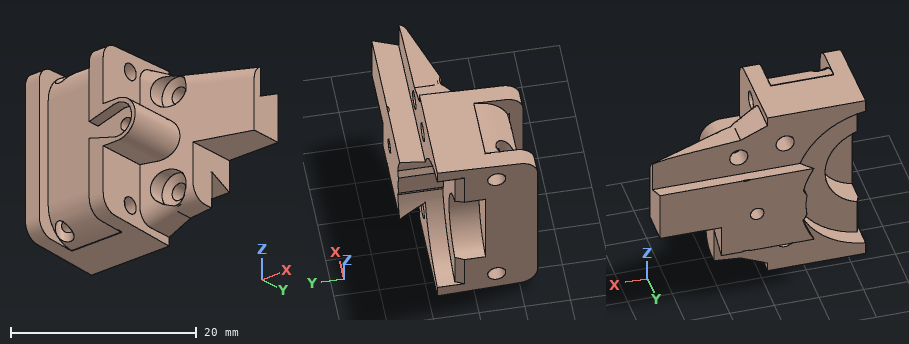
import cadquery as cq
import math

length = 23.9
depth = 13.93
back_y = 11.0

body_length = 11.02
body_half_height = 20.95 / 2
front_half_height = 10.09
corner_radius = 2.0
flange_width = 1.98
gap_x = body_length - flange_width
floor_y = 1.48
floor_half_height = 6.29
web_radius = 3.92

pocket_x = -1.0
pocket_radius = 9.05
pocket_floor_y = 9.0
pocket_ramp_y = 8.0
pocket_ramp_run = 0.4
inner_radius = 5.0
inner_floor_y = 5.71
key_base_half = 2.03
key_tip_half = 1.3
key_tip_radius = 8.53

pivot_x = 13.0
boss_radius = 2.53
opening_radius = 2.0
gap_half_height = 1.0
pivot_hole = 1.5

arm_root_half = 9.42
arm_bend = (14.03, 8.08)
arm_tip_half = 7.2
arm_root_y = 6.07
arm_tip_y = 9.95
arm_edge_radius = 2.0
step_x = 17.02
step_z = -1.03

dovetail_base_half = 3.47
dovetail_back_half = 4.85

side_hole = 1.95
side_hole_y, side_hole_z = 4.5, 8.0
cross_hole = 2.0
cross_hole_x, cross_hole_y = 3.0, 3.0
web_hole = 2.0
web_hole_z = 6.57
screw_hole = 2.0
screw_head = 4.02
screw_x, screw_z = 14.22, 5.75
screw_seat_y = 8.36
screw_cone_depth = 0.5


def box(x0, x1, y0, y1, z0, z1):
    return cq.Workplane("XY").box(x1 - x0, y1 - y0, z1 - z0, centered=False).translate((x0, y0, z0))


def y_plane(y):
    """Sketch plane at a given Y: local axes are X and Z, extrusion runs toward +Y."""
    return cq.Workplane(cq.Plane(origin=(0, y, 0), xDir=(1, 0, 0), normal=(0, -1, 0)))


def extrude_y(sketch, distance):
    return sketch.extrude(-distance)


def cylinder_y(x, z, radius, y0, y1):
    return extrude_y(y_plane(y0).center(x, z).circle(radius), y1 - y0)


def make_body():
    taper = [
        (0, -front_half_height),
        (back_y, -body_half_height),
        (back_y, body_half_height),
        (0, front_half_height),
    ]
    body = cq.Workplane("YZ").polyline(taper).close().extrude(body_length)
    return body.edges("|X and <Y").fillet(corner_radius)


def make_channel():
    """Space between the flanges, in front of the web with its rounded shoulders."""
    width = body_length - 2 * flange_width
    shoulder_y = floor_y + web_radius
    front = box(flange_width, flange_width + width, 0, shoulder_y, -body_half_height, body_half_height)
    half_web = floor_half_height + web_radius
    web = box(flange_width, flange_width + width, floor_y, back_y, -half_web, half_web)
    web = web.edges("|X and <Y").fillet(web_radius)
    return front.cut(web)


def make_arm():
    upper = [(body_length, arm_root_half), arm_bend, (length, arm_tip_half)]
    lower = [(x, -z) for x, z in reversed(upper)]
    blank = extrude_y(y_plane(0).polyline(upper + lower).close(), 2 * depth)
    slope = (
        cq.Workplane("XY")
        .polyline([
            (body_length, arm_root_y),
            (length, arm_tip_y),
            (length, 2 * depth),
            (body_length, 2 * depth),
        ])
        .close()
        .extrude(body_half_height, both=True)
    )
    arm = blank.intersect(slope)
    arm = arm.faces("<Y").edges("not |Z").fillet(arm_edge_radius)
    return arm.intersect(box(0, length, 0, back_y, -body_half_height, body_half_height))


def make_boss():
    boss = cylinder_y(pivot_x, 0, boss_radius, 0, pocket_floor_y)
    neck = box(gap_x, pivot_x, 0, pocket_floor_y, -boss_radius, boss_radius)
    return boss.union(neck)


def make_opening():
    """Round recess whose tangent sides narrow to the gap in the flange."""
    reach = math.hypot(pivot_x - gap_x, gap_half_height)
    angle = math.pi - math.atan2(gap_half_height, pivot_x - gap_x) - math.acos(opening_radius / reach)
    tangent_x = pivot_x + opening_radius * math.cos(angle)
    tangent_z = opening_radius * math.sin(angle)
    sketch = (
        y_plane(0)
        .moveTo(gap_x, -gap_half_height)
        .lineTo(tangent_x, -tangent_z)
        .threePointArc((pivot_x + opening_radius, 0), (tangent_x, tangent_z))
        .lineTo(gap_x, gap_half_height)
        .close()
    )
    return extrude_y(sketch, floor_y)


def make_dovetail():
    profile = [
        (back_y, -dovetail_base_half),
        (depth, -dovetail_back_half),
        (depth, dovetail_back_half),
        (back_y, dovetail_base_half),
    ]
    return cq.Workplane("YZ").polyline(profile).close().extrude(length)


def make_pocket():
    main = cylinder_y(pocket_x, 0, pocket_radius, pocket_floor_y, depth)
    inner = cylinder_y(pocket_x, 0, inner_radius, inner_floor_y, depth)
    ramp = (
        cq.Workplane("XY")
        .polyline([(0, pocket_ramp_y), (pocket_ramp_run, pocket_floor_y), (0, pocket_floor_y)])
        .close()
        .extrude(body_half_height, both=True)
        .intersect(cylinder_y(pocket_x, 0, pocket_radius, 0, depth))
    )
    base_x = pocket_x + math.sqrt(pocket_radius**2 - key_base_half**2)
    tip_x = pocket_x + math.sqrt(key_tip_radius**2 - key_tip_half**2)
    key_sketch = (
        y_plane(pocket_floor_y)
        .moveTo(base_x, -key_base_half)
        .lineTo(tip_x, -key_tip_half)
        .threePointArc((pocket_x + key_tip_radius, 0), (tip_x, key_tip_half))
        .lineTo(base_x, key_base_half)
        .threePointArc((pocket_x + pocket_radius, 0), (base_x, -key_base_half))
        .close()
    )
    key = extrude_y(key_sketch, depth - pocket_floor_y)
    return main.cut(key).union(inner).union(ramp)


def make_screw_hole(z):
    cone = (
        cq.Workplane("XY")
        .polyline([
            (0, screw_seat_y),
            (screw_head / 2, screw_seat_y),
            (screw_hole / 2, screw_seat_y + screw_cone_depth),
            (0, screw_seat_y + screw_cone_depth),
        ])
        .close()
        .revolve(360, (0, 0, 0), (0, 1, 0))
        .translate((screw_x, 0, z))
    )
    head = cylinder_y(screw_x, z, screw_head / 2, 0, screw_seat_y)
    shank = cylinder_y(screw_x, z, screw_hole / 2, screw_seat_y, depth)
    return head.union(cone).union(shank)


result = make_body().cut(make_channel())
result = result.union(make_arm()).union(make_boss()).union(make_dovetail())
result = result.cut(make_opening()).cut(make_pocket())

result = result.cut(box(step_x, length, 0, depth, -body_half_height, step_z))

result = result.cut(cylinder_y(pivot_x, 0, pivot_hole / 2, 0, depth))
cross_bore = cq.Workplane("XY").center(cross_hole_x, cross_hole_y).circle(cross_hole / 2)
result = result.cut(cross_bore.extrude(body_half_height, both=True))

for side in (1, -1):
    side_bore = cq.Workplane("YZ").center(side_hole_y, side * side_hole_z).circle(side_hole / 2)
    result = result.cut(side_bore.extrude(body_length))
    result = result.cut(cylinder_y(gap_x, side * web_hole_z, web_hole / 2, floor_y, depth))
    result = result.cut(make_screw_hole(side * screw_z))